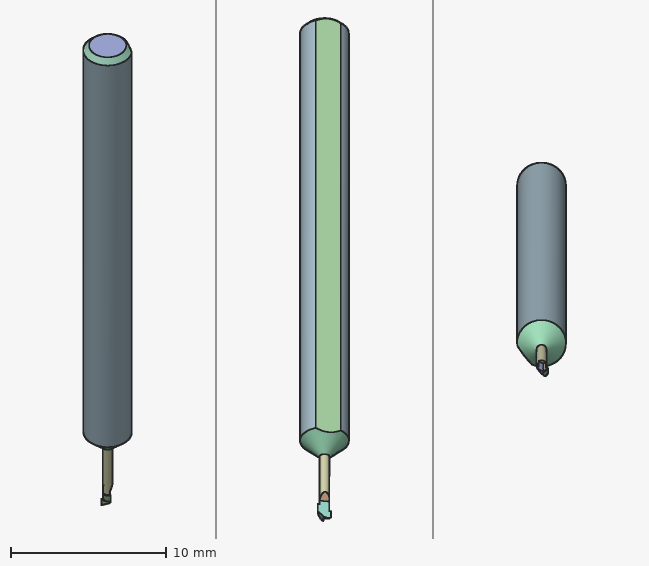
import cadquery as cq

total_length = 38.1
shank_radius = 1.58
shank_flat_y = 1.353
end_chamfer = 0.4

neck_radius = 0.325
cone_bottom = 4.75
cone_top = cone_bottom + shank_radius - neck_radius

head_radius = 0.44
tooth_top = 0.57
heel_top = 1.03
heel_offset = head_radius - neck_radius
tip_x = -0.3
tip_rise = 0.1
heel_foot_x = 0.057
heel_foot_z = 0.08

rake_y = 0.05
runout_bottom = 1.3
runout_top = 1.83

flute_top = 1.65
flute_root_y = -0.15


def cylinder(radius, bottom, top, center_x=0):
    base = cq.Workplane("XY", origin=(center_x, 0, bottom))
    return base.circle(radius).extrude(top - bottom)


def make_shank():
    """Round shank with an end chamfer, a cone and one full-length flat."""
    profile = [
        (0, cone_bottom),
        (neck_radius, cone_bottom),
        (shank_radius, cone_top),
        (shank_radius, total_length - end_chamfer),
        (shank_radius - end_chamfer, total_length),
        (0, total_length),
    ]
    body = cq.Workplane("XZ").polyline(profile).close().revolve(360, (0, 0), (0, 1))
    beyond_flat = cq.Workplane("XY").box(
        2 * shank_radius, shank_radius, total_length, centered=(True, False, False)
    )
    return body.cut(beyond_flat.translate((0, shank_flat_y, 0)))


def make_head():
    """Tooth and offset heel, with the underside relieved up from the tip."""
    tooth = cylinder(head_radius, 0, tooth_top)
    heel = cylinder(neck_radius, 0, heel_top, heel_offset)
    outline = [
        (-head_radius, heel_top),
        (-head_radius, tip_rise),
        (tip_x, 0),
        (heel_foot_x, heel_foot_z),
        (head_radius, heel_foot_z + head_radius - heel_foot_x),
        (head_radius, heel_top),
    ]
    envelope = cq.Workplane("XZ").polyline(outline).close().extrude(head_radius, both=True)
    return tooth.union(heel).intersect(envelope)


def make_rake_cut():
    """Block that leaves the flat rake face and its sloping run-out."""
    outline = [
        (rake_y, 0),
        (rake_y, runout_bottom),
        (neck_radius, runout_top),
        (shank_radius, runout_top),
        (shank_radius, 0),
    ]
    return cq.Workplane("YZ").polyline(outline).close().extrude(shank_radius, both=True)


def make_flute_cut():
    """Upright notch whose floor slants from the tooth edge to the flute root."""
    outline = [
        (-head_radius, rake_y),
        (0, flute_root_y),
        (0, -shank_radius),
        (-shank_radius, -shank_radius),
        (-shank_radius, rake_y),
    ]
    return cq.Workplane("XY").polyline(outline).close().extrude(flute_top)


neck = cylinder(neck_radius, tooth_top, cone_bottom)
cutter = neck.union(make_head()).cut(make_rake_cut()).cut(make_flute_cut())
result = make_shank().union(cutter)